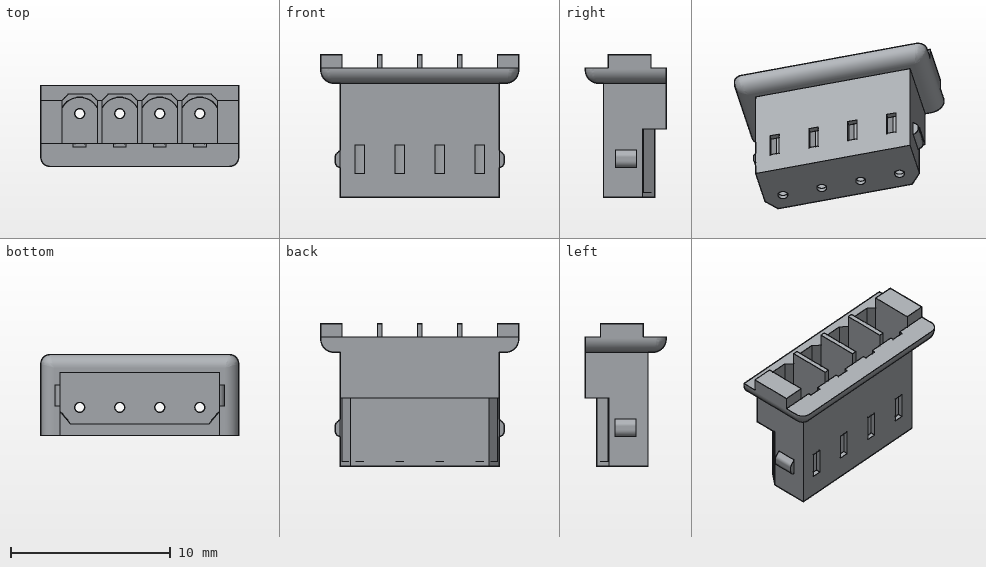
import cadquery as cq
import math


length = 12.4
depth = 5.07
height = 8.92
pole_count = 4
pitch = 2.5
wall = 0.3

body_length = 9.96
body_depth = 3.94
step_height = 4.27
lower_rear = 0.71
corner_chamfer_x = 0.66
corner_chamfer_y = 0.79

flange_top = 8.1
flange_thickness = 0.98
flange_corner_radius = 0.6
flange_edge_radius = 0.84

crown_rear = 0.94
crown_front = body_depth - wall

cavity_width = pitch - wall
cavity_rear = 0.75
cavity_arc_radius = 1.24
cavity_floor = wall
mouth_rear = 0.55
mouth_chamfer_x = 0.38
mouth_floor = step_height + wall
pin_hole_diameter = 0.61
pin_hole_from_rear = 1.76
groove_width = 0.8
groove_depth = 0.2

window_width = 0.6
window_bottom = 1.5
window_top = 3.26

latch_rear = 1.86
latch_front = 3.16
latch_bottom = 1.85
latch_top = 2.95
latch_height = 0.32
latch_root = 0.06
latch_slope_angle = 45
latch_upper_radius = 0.3
latch_lower_radius = 0.4

pole_positions = [(i - (pole_count - 1) / 2) * pitch for i in range(pole_count)]


def box(x_min, x_max, rear, front, z_min, z_max):
    """Box between two X values, two distances from the rear face and two heights."""
    size = (x_max - x_min, front - rear, z_max - z_min)
    return cq.Workplane("XY").box(*size, centered=False).translate((x_min, -front, z_min))


def centred_box(width, rear, front, z_min, z_max):
    return box(-width / 2, width / 2, rear, front, z_min, z_max)


def make_body():
    upper = centred_box(body_length, 0, body_depth, step_height, flange_top)
    half = body_length / 2
    flat_half = half - corner_chamfer_x
    chamfer_end = lower_rear + corner_chamfer_y
    lower = (
        cq.Workplane("XY")
        .polyline([
            (-half, -body_depth),
            (half, -body_depth),
            (half, -chamfer_end),
            (flat_half, -lower_rear),
            (-flat_half, -lower_rear),
            (-half, -chamfer_end),
        ])
        .close()
        .extrude(step_height)
    )
    return upper.union(lower)


def make_flange():
    flange = centred_box(length, 0, depth, flange_top - flange_thickness, flange_top)
    flange = flange.faces("<Z").edges("not >Y").fillet(flange_edge_radius)
    return flange.edges("|Z and <Y").fillet(flange_corner_radius)


def make_crown():
    return centred_box(length, crown_rear, crown_front, flange_top, height)


def make_latch():
    """Bump on the +X end: sloped above, flat outside and rounded below."""
    base = body_length / 2
    tip = base + latch_height
    inside = base - latch_root

    slope = math.radians(latch_slope_angle)
    slope_end_x = tip - latch_upper_radius * (1 - math.cos(slope))
    slope_end_z = latch_top - (slope_end_x - base) * math.tan(slope)
    flat_top = slope_end_z - latch_upper_radius * math.sin(slope)
    upper_mid = (
        tip - latch_upper_radius * (1 - math.cos(slope / 2)),
        flat_top + latch_upper_radius * math.sin(slope / 2),
    )

    sweep = math.acos(1 - latch_height / latch_lower_radius)
    flat_bottom = latch_bottom + latch_lower_radius * math.sin(sweep)
    lower_mid = (
        tip - latch_lower_radius * (1 - math.cos(sweep / 2)),
        flat_bottom - latch_lower_radius * math.sin(sweep / 2),
    )
    return (
        cq.Workplane("XZ", origin=(0, -latch_rear, 0))
        .moveTo(inside, latch_top)
        .lineTo(base, latch_top)
        .lineTo(slope_end_x, slope_end_z)
        .threePointArc(upper_mid, (tip, flat_top))
        .lineTo(tip, flat_bottom)
        .threePointArc(lower_mid, (base, latch_bottom))
        .lineTo(inside, latch_bottom)
        .close()
        .extrude(latch_front - latch_rear)
    )


def make_pole_cut():
    """Everything removed for one pole, centred on X = 0."""
    half = cavity_width / 2
    arc_drop = cavity_arc_radius - math.sqrt(cavity_arc_radius**2 - half**2)
    arc_end = cavity_rear + arc_drop
    cavity = (
        cq.Workplane("XY", origin=(0, 0, cavity_floor))
        .moveTo(-half, -crown_front)
        .lineTo(half, -crown_front)
        .lineTo(half, -arc_end)
        .threePointArc((0, -cavity_rear), (-half, -arc_end))
        .close()
        .extrude(height - cavity_floor)
    )
    mouth = (
        cq.Workplane("XY", origin=(0, 0, mouth_floor))
        .polyline([
            (-half, -crown_front),
            (half, -crown_front),
            (half, -crown_rear),
            (half - mouth_chamfer_x, -mouth_rear),
            (-half + mouth_chamfer_x, -mouth_rear),
            (-half, -crown_rear),
        ])
        .close()
        .extrude(height - mouth_floor)
    )
    pin_hole = (
        cq.Workplane("XY")
        .center(0, -pin_hole_from_rear)
        .circle(pin_hole_diameter / 2)
        .extrude(cavity_floor)
    )
    groove_front = crown_front + groove_depth
    groove = centred_box(groove_width, crown_front, groove_front, mouth_floor, height)
    window = centred_box(window_width, crown_front, body_depth, window_bottom, window_top)
    return cavity.union(mouth).union(pin_hole).union(groove).union(window)


latch = make_latch()
result = make_body().union(make_flange()).union(make_crown())
result = result.union(latch).union(latch.mirror("YZ"))

pole_cut = make_pole_cut()
for x in pole_positions:
    result = result.cut(pole_cut.translate((x, 0, 0)))